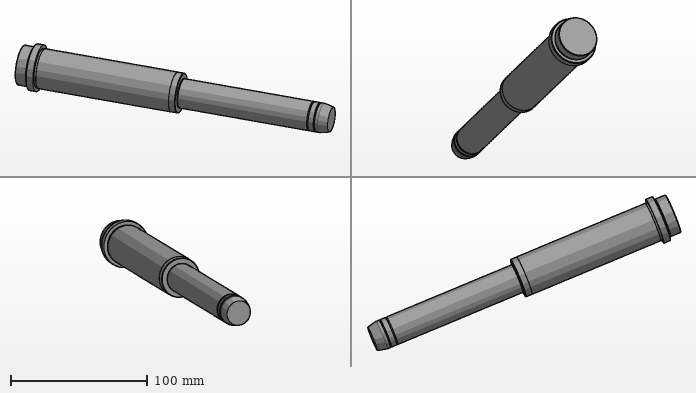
import cadquery as cq

total_length = 240.0
body_diameter = 30.0
collar_diameter = 35.0
pin_diameter = 22.0
nose_end_diameter = 18.5

collar_start = 9.0
collar_end = 14.6
lead_start = 118.8
body_end = 123.8
nose_start = 232.8
first_ring_start = 224.5
second_ring_start = 229.5

edge_chamfer = 0.5
lead_chamfer = 0.35
lead_step = 0.07
undercut_depth = 0.15
head_undercut_width = 1.0
body_undercut_width = 1.5
pin_relief_depth = 0.2
pin_relief_width = 0.7
ring_width = 1.0
ring_depth = 0.2
nose_bulge = 0.2


def cylinder(diameter, start, end):
    """Solid cylinder along X between two positions."""
    return cq.Workplane("YZ", origin=(start, 0, 0)).circle(diameter / 2).extrude(end - start)


def groove(diameter, depth, start, width):
    """Ring-shaped cutter for a groove of the given depth in a cylinder of the given diameter."""
    end = start + width
    return cylinder(diameter + 2 * depth, start, end).cut(cylinder(diameter - 2 * depth, start, end))


def make_body():
    """Large cylinder with a slightly reduced lead, chamfered ends and undercuts beside the collar."""
    lead_diameter = body_diameter - 2 * lead_step
    lead = cylinder(lead_diameter, lead_start, body_end).faces(">X").chamfer(lead_chamfer)
    main = cylinder(body_diameter, 0, lead_start).faces("<X").chamfer(edge_chamfer)
    body = main.union(lead)
    undercuts = (
        (collar_start - head_undercut_width, head_undercut_width),
        (collar_end, body_undercut_width),
    )
    for start, width in undercuts:
        body = body.cut(groove(body_diameter, undercut_depth, start, width))
    return body


def make_collar():
    """Collar with a chamfer on its head-side rim."""
    collar = cylinder(collar_diameter, collar_start, collar_end)
    return collar.faces("<X").chamfer(edge_chamfer)


def make_pin():
    """Slim pin with a relief at its root, two ring grooves and a bulged nose."""
    pin_radius = pin_diameter / 2
    nose_end_radius = nose_end_diameter / 2
    nose_middle = (
        (nose_start + total_length) / 2,
        (pin_radius + nose_end_radius) / 2 + nose_bulge,
    )
    pin = (
        cq.Workplane("XY")
        .moveTo(lead_start, 0)
        .lineTo(lead_start, pin_radius)
        .lineTo(nose_start, pin_radius)
        .threePointArc(nose_middle, (total_length, nose_end_radius))
        .lineTo(total_length, 0)
        .close()
        .revolve(360, (0, 0, 0), (1, 0, 0))
    )
    pin = pin.cut(groove(pin_diameter, pin_relief_depth, body_end, pin_relief_width))
    for ring_start in (first_ring_start, second_ring_start):
        pin = pin.cut(groove(pin_diameter, ring_depth, ring_start, ring_width))
    return pin


result = make_body().union(make_collar()).union(make_pin())